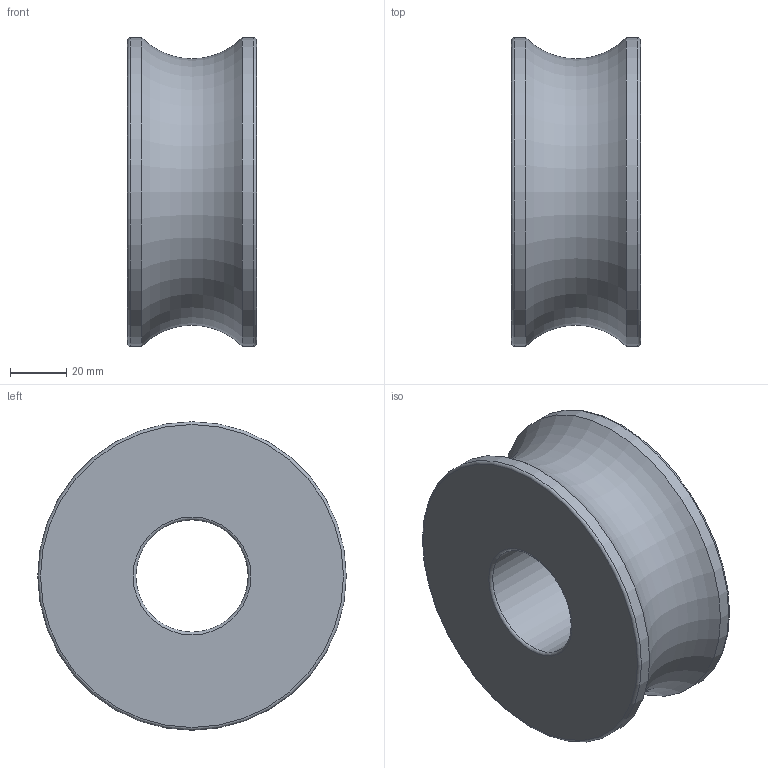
import cadquery as cq

width = 46.0
outer_diameter = 110.0
bore_diameter = 40.0
groove_floor_diameter = 95.0
groove_arc_radius = 25.0
edge_radius = 1.0


def make_blank():
    """Solid disc with a through bore."""
    return (
        cq.Workplane("YZ")
        .circle(outer_diameter / 2)
        .circle(bore_diameter / 2)
        .extrude(width / 2, both=True)
    )


def round_face_edges(body):
    """Round the rim and bore edges of both flat end faces."""
    return body.faces("<X or >X").edges().fillet(edge_radius)


def make_groove_ring():
    """Torus that leaves a concave round groove in the rim."""
    arc_center_radius = groove_floor_diameter / 2 + groove_arc_radius
    return (
        cq.Workplane("XY")
        .center(0, arc_center_radius)
        .circle(groove_arc_radius)
        .revolve(360, (0, -arc_center_radius), (1, -arc_center_radius))
    )


result = round_face_edges(make_blank()).cut(make_groove_ring())